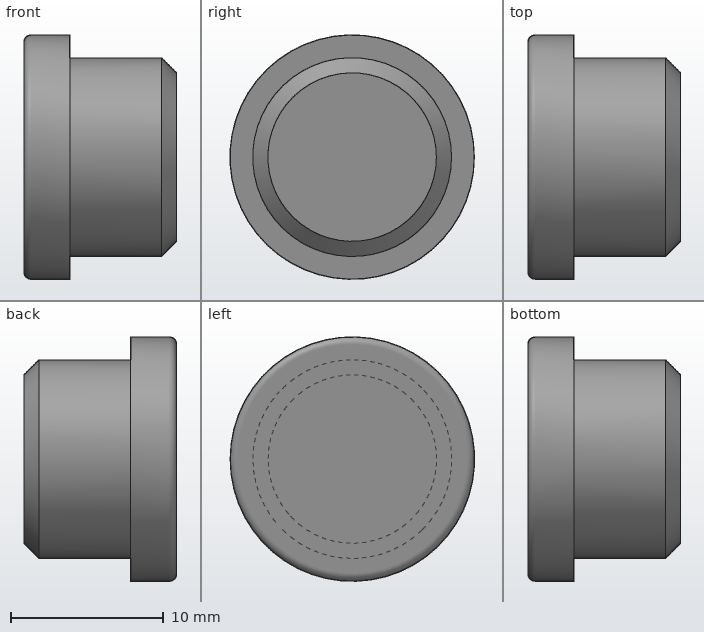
import cadquery as cq

head_diameter = 16.0
head_thickness = 3.0
head_edge_radius = 0.5
shank_diameter = 13.0
total_length = 10.0
tip_chamfer = 1.0

shank_length = total_length - head_thickness

head = (
    cq.Workplane("YZ")
    .circle(head_diameter / 2)
    .extrude(head_thickness)
    .faces("<X")
    .edges()
    .fillet(head_edge_radius)
)

shank = (
    cq.Workplane("YZ", origin=(head_thickness, 0, 0))
    .circle(shank_diameter / 2)
    .extrude(shank_length)
    .faces(">X")
    .edges()
    .chamfer(tip_chamfer)
)

result = head.union(shank)